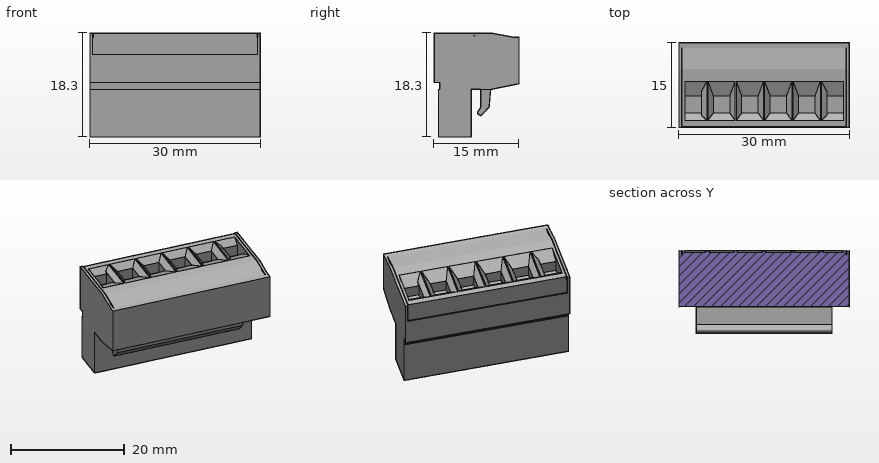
import cadquery as cq

length = 30.0
depth = 15.0
height = 18.3

back_top = 17.6
back_bottom = 9.4
back_flat_y = 14.0
slope_start_y = 10.25
shoulder_z = 8.43
plug_front_y = 0.78
plug_back_y = 6.57
groove_y = 1.0
groove_top_z = 9.6

cover_inset = 0.48
panel_height = 3.72
panel_recess = 0.195
slit_width = 0.1

poles = 6
pitch = length / poles
rib_width = 0.2
end_wall = 1.05
mouth_front_y = 1.3
mouth_back_y = 8.15
bore_front_y = 2.58
bore_back_y = 5.6
bore_inset = 1.05
funnel_depth = 1.0
end_taper_depth = 0.7
bore_depth = 3.1

latch_end_inset = 3.03
latch_width = length - 2 * latch_end_inset
latch_front_y = 8.22
latch_back_y = 10.0
latch_bend_y = 9.72
latch_bend_z = 5.28
latch_nose_y = 7.53
latch_nose_z = 4.23
latch_tip_z = 3.72
nose_radius = 0.25
root_radius = 0.27


def extrude_across(points, width):
    """Extrude a (Y, Z) outline symmetrically along X."""
    return cq.Workplane("YZ").polyline(points).close().extrude(width / 2, both=True)


def box_between(x_range, y_range, z_range):
    """Make a box from its lower and upper limits on each axis."""
    limits = (x_range, y_range, z_range)
    sizes = [high - low for low, high in limits]
    corner = [low for low, high in limits]
    return cq.Workplane("XY").box(*sizes, centered=False).translate(tuple(corner))


def make_housing():
    return extrude_across(
        [
            (plug_front_y, 0),
            (plug_back_y, 0),
            (plug_back_y, shoulder_z),
            (slope_start_y, shoulder_z),
            (depth, back_bottom),
            (depth, back_top),
            (back_flat_y, back_top),
            (slope_start_y, height),
            (0, height),
            (0, groove_top_z),
            (groove_y, groove_top_z),
            (groove_y, shoulder_z),
            (plug_front_y, shoulder_z),
        ],
        length,
    )


def make_latch():
    hook = extrude_across(
        [
            (latch_front_y, shoulder_z),
            (latch_front_y, latch_bend_z),
            (latch_nose_y, latch_nose_z),
            (latch_front_y, latch_tip_z),
            (latch_bend_y, latch_bend_z),
            (latch_back_y, shoulder_z),
        ],
        latch_width,
    )
    return hook.edges("|X and <Y").fillet(nose_radius)


def fillet_latch_roots(body):
    """Round the front and back corners where the hook meets the overhang."""
    for root_y in (latch_front_y, latch_back_y):
        root = cq.selectors.NearestToPointSelector((0, root_y, shoulder_z))
        body = body.edges("|X").edges(root).fillet(root_radius)
    return body


def make_panel_recess():
    half = length / 2 - cover_inset
    return box_between((-half, half), (0, panel_recess), (height - panel_height, height))


def make_slit(side):
    """Make the slit along one end of the top cover; side is -1 or 1."""
    outer = side * (length / 2 - cover_inset)
    inner = outer - side * slit_width
    return box_between(sorted((inner, outer)), (0, back_flat_y), (back_top, height))


def make_taper(x_mouth, x_bore, y_mouth, y_bore, taper_depth):
    """Make a funnel that narrows from its mouth to its bore."""
    def rectangle(x_range, y_range, z):
        (x0, x1), (y0, y1) = x_range, y_range
        corners = [(x0, y0, z), (x1, y0, z), (x1, y1, z), (x0, y1, z)]
        return cq.Wire.makePolygon([cq.Vector(*corner) for corner in corners], close=True)

    mouth = rectangle(x_mouth, y_mouth, height)
    bore = rectangle(x_bore, y_bore, height - taper_depth)
    return cq.Workplane(obj=cq.Solid.makeLoft([mouth, bore], True))


def make_funnel(pole):
    left = -length / 2 + pole * pitch
    right = left + pitch
    x_mouth = (left + rib_width / 2, right - rib_width / 2)
    x_bore = (left + bore_inset, right - bore_inset)
    y_mouth = (mouth_front_y, mouth_back_y)
    y_bore = (bore_front_y, bore_back_y)
    bore = box_between(x_bore, y_bore, (height - bore_depth, height))

    if 0 < pole < poles - 1:
        return make_taper(x_mouth, x_bore, y_mouth, y_bore, funnel_depth).union(bore)

    inner_half = length / 2 - end_wall
    front_back_taper = make_taper(x_mouth, x_mouth, y_mouth, y_bore, funnel_depth)
    side_taper = make_taper(x_mouth, x_bore, y_mouth, y_mouth, end_taper_depth)
    straight = box_between(x_bore, y_mouth, (height - funnel_depth, height))
    end_space = box_between((-inner_half, inner_half), (0, depth), (0, height))
    return front_back_taper.intersect(side_taper.union(straight)).union(bore).intersect(end_space)


result = fillet_latch_roots(make_housing().union(make_latch()))
result = result.cut(make_panel_recess())
for side in (-1, 1):
    result = result.cut(make_slit(side))
for pole in range(poles):
    result = result.cut(make_funnel(pole))